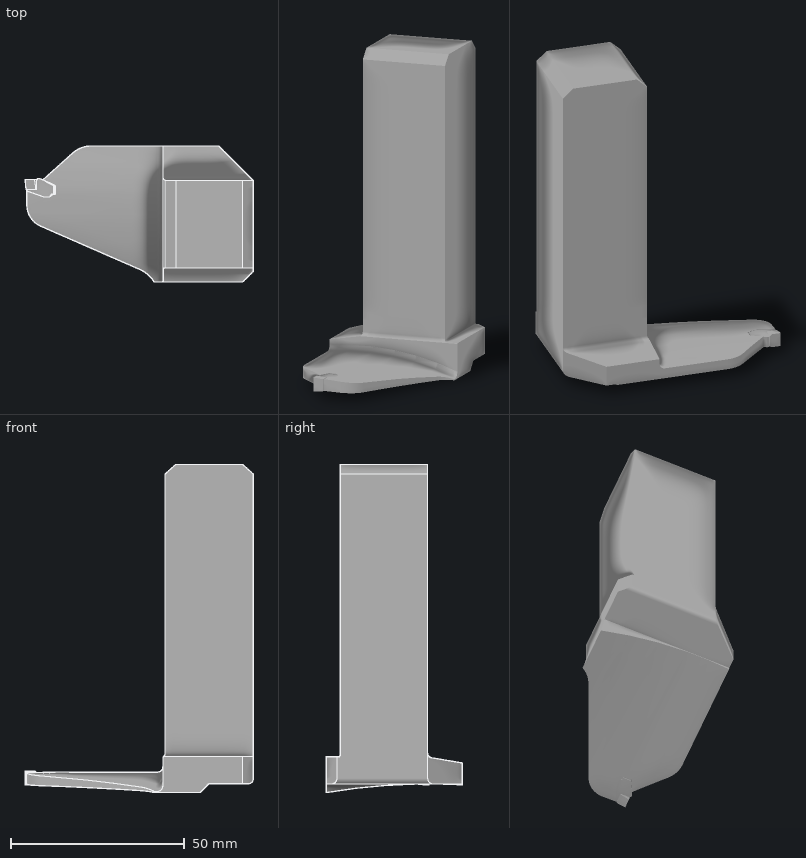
import cadquery as cq
import math


tool_length = 65.6
tool_width = 39.15
tool_height = 94.39

shank_width = 25.4
shank_depth = 25.2
shank_chamfer_run = 3.1
shank_chamfer_drop = 2.8

foot_front = -4.0
foot_back = foot_front + tool_width
foot_wall_x = -0.63
foot_top_z = 10.4
foot_slope_angle = 9.5
foot_back_chamfer = foot_back - shank_depth
foot_front_chamfer = 3.1
heel_z = 2.55
heel_start_x = 10.1
heel_corner_radius = 1.5

side_root_radius = 1.45
back_root_radius = 1.35
front_root_radius = 0.3
root_top_z = 11.4

crest_y = 25.5
blade_top_z = 5.98
blade_top_radius = 80.0
blade_bottom_z = 2.5
blade_bottom_radius = (blade_bottom_z**2 + (crest_y - foot_front) ** 2) / (2 * blade_bottom_z)
blade_wall_radius = 1.6
blade_tip_x = -39.74
blade_back_angle = 42.0
blade_front_angle = 23.6
blade_back_radius = 8.0
blade_tip_radius = 6.7
flare_start = (-7.0, -0.5)
flare_middle = (-4.75, -2.0)
flare_end = (-3.1, foot_front)

cutting_edge_x = shank_width - tool_length
rake_y = 25.5
insert_heel = (-35.1, 25.4)
insert_end_x = -31.9
insert_end_back_y = 23.7
insert_end_front_y = 21.2
insert_keel_x = (-34.9, -33.2)
insert_keel_y = 20.5
insert_nose_y = 22.2
insert_bottom_z = blade_bottom_z
insert_top_z = 5.75
insert_end_gap = 0.35
hump_points = [(-37.0, 25.1), (-36.6, 25.8), (-36.0, 25.8)]
head_end_x = -37.5
neck_end_x = -36.9
head_nose_y = 23.4
head_front_y = 22.6
head_rake_z = (2.15, 6.3)
head_front_z = (2.4, 5.95)
head_edge_relief = 0.1
head_nose_relief = 0.3

margin = 10.0


def foot_and_blade_blank():
    """Plan outline of foot and blade, with the round corners of the blade."""
    right = shank_width
    tip_front_y = flare_start[1] + (flare_start[0] - blade_tip_x) * math.tan(math.radians(blade_front_angle))
    back_rise = foot_back - insert_heel[1]
    shoulder_x = insert_heel[0] + back_rise / math.tan(math.radians(blade_back_angle))
    blank = (
        cq.Workplane("XY")
        .moveTo(blade_tip_x, tip_front_y)
        .lineTo(*flare_start)
        .threePointArc(flare_middle, flare_end)
        .lineTo(right - foot_front_chamfer, foot_front)
        .lineTo(right, foot_front + foot_front_chamfer)
        .lineTo(right, foot_back - foot_back_chamfer)
        .lineTo(right - foot_back_chamfer, foot_back)
        .lineTo(shoulder_x, foot_back)
        .lineTo(*insert_heel)
        .lineTo(blade_tip_x, head_front_y)
        .close()
        .extrude(root_top_z)
    )
    tip_corner = cq.selectors.NearestToPointSelector((blade_tip_x, tip_front_y, root_top_z / 2))
    shoulder = cq.selectors.NearestToPointSelector((shoulder_x, foot_back, root_top_z / 2))
    blank = blank.edges(tip_corner).fillet(blade_tip_radius)
    return blank.edges(shoulder).fillet(blade_back_radius)


def root_profile_along_y():
    """Foot top with the concave fillet at the left side of the shank, cut off by the foot wall."""
    wall_rise = math.sqrt(side_root_radius**2 - (side_root_radius + foot_wall_x) ** 2)
    half_angle = 0.5 * math.acos((side_root_radius + foot_wall_x) / side_root_radius)
    middle = (
        side_root_radius * (math.cos(half_angle) - 1),
        root_top_z - side_root_radius * math.sin(half_angle),
    )
    wall_top_z = root_top_z - wall_rise
    left = blade_tip_x - margin
    return (
        cq.Workplane("XZ", origin=(0, foot_back + margin, 0))
        .moveTo(0, root_top_z)
        .threePointArc(middle, (foot_wall_x, wall_top_z))
        .lineTo(left, wall_top_z)
        .lineTo(left, -margin)
        .lineTo(shank_width, -margin)
        .lineTo(shank_width, root_top_z)
        .close()
        .extrude(foot_back - foot_front + 2 * margin)
    )


def root_profile_along_x():
    """Foot top with the small front fillet, the back fillet and the sloping back ledge."""
    slope = math.radians(foot_slope_angle)
    bend = math.radians(90 - foot_slope_angle)
    back_centre = (shank_depth + back_root_radius, root_top_z)
    back_root_end = (
        back_centre[0] - back_root_radius * math.cos(bend),
        back_centre[1] - back_root_radius * math.sin(bend),
    )
    back_root_middle = (
        back_centre[0] - back_root_radius * math.cos(bend / 2),
        back_centre[1] - back_root_radius * math.sin(bend / 2),
    )
    ledge_back_z = back_root_end[1] - (foot_back - back_root_end[0]) * math.tan(slope)
    front_bulge = front_root_radius * (1 - math.sqrt(0.5))
    left = blade_tip_x - margin
    return (
        cq.Workplane("YZ", origin=(left, 0, 0))
        .moveTo(foot_front, -margin)
        .lineTo(foot_front, foot_top_z)
        .lineTo(-front_root_radius, foot_top_z)
        .threePointArc((-front_bulge, foot_top_z + front_bulge), (0, foot_top_z + front_root_radius))
        .lineTo(0, root_top_z)
        .lineTo(shank_depth, root_top_z)
        .threePointArc(back_root_middle, back_root_end)
        .lineTo(foot_back, ledge_back_z)
        .lineTo(foot_back, -margin)
        .close()
        .extrude(shank_width - left)
    )


def space_above_blade():
    """Ring over the blade, rounded where the blade runs into the foot wall."""
    far = blade_tip_x - margin
    outer = blade_top_radius + root_top_z + margin
    round_centre_x = foot_wall_x - blade_wall_radius
    round_centre_r = blade_top_radius + blade_wall_radius
    middle = (
        round_centre_x + blade_wall_radius * math.sqrt(0.5),
        round_centre_r - blade_wall_radius * math.sqrt(0.5),
    )
    return (
        cq.Workplane("XY", origin=(0, crest_y, blade_top_z - blade_top_radius))
        .moveTo(far, blade_top_radius)
        .lineTo(round_centre_x, blade_top_radius)
        .threePointArc(middle, (foot_wall_x, round_centre_r))
        .lineTo(foot_wall_x, outer)
        .lineTo(far, outer)
        .close()
        .revolve(360, (0, 0, 0), (1, 0, 0))
    )


def space_below_blade():
    """Cylinder along X that hollows the underside of the blade and foot."""
    far = blade_tip_x - margin
    return (
        cq.Workplane("YZ", origin=(far, crest_y, blade_bottom_z - blade_bottom_radius))
        .circle(blade_bottom_radius)
        .extrude(shank_width + margin - far)
    )


def space_below_heel():
    """Step in the underside at the right, entered by a 45 degree slope."""
    right = shank_width
    return (
        cq.Workplane("XZ", origin=(0, foot_back + margin, 0))
        .moveTo(heel_start_x, 0)
        .lineTo(heel_start_x + heel_z, heel_z)
        .lineTo(right - heel_corner_radius, heel_z)
        .radiusArc((right, heel_z + heel_corner_radius), -heel_corner_radius)
        .lineTo(right + margin, heel_z + heel_corner_radius)
        .lineTo(right + margin, -margin)
        .lineTo(heel_start_x, -margin)
        .close()
        .extrude(foot_back - foot_front + 2 * margin)
    )


def shank():
    """Rectangular bar with its left and right top edges chamfered."""
    shoulder_z = tool_height - shank_chamfer_drop
    return (
        cq.Workplane("XZ")
        .moveTo(0, foot_top_z)
        .lineTo(shank_width, foot_top_z)
        .lineTo(shank_width, shoulder_z)
        .lineTo(shank_width - shank_chamfer_run, tool_height)
        .lineTo(shank_chamfer_run, tool_height)
        .lineTo(0, shoulder_z)
        .close()
        .extrude(-shank_depth)
    )


def insert_plan(end_x, bottom_z, top_z):
    """Insert outline in plan, wedge shaped at the keel, as a plate between two levels."""
    return (
        cq.Workplane("XY", origin=(0, 0, bottom_z))
        .moveTo(blade_tip_x, insert_nose_y)
        .lineTo(insert_keel_x[0], insert_keel_y)
        .lineTo(insert_keel_x[1], insert_keel_y)
        .lineTo(end_x - (insert_end_front_y - insert_keel_y), insert_end_front_y)
        .lineTo(end_x, insert_end_front_y)
        .lineTo(end_x, insert_end_back_y)
        .lineTo(*insert_heel)
        .lineTo(*hump_points[2])
        .lineTo(*hump_points[1])
        .lineTo(*hump_points[0])
        .lineTo(blade_tip_x, hump_points[0][1])
        .close()
        .extrude(top_z - bottom_z)
    )


def insert_head():
    """Cutting head, widest at the rake face, sloping down to the plate at its neck."""
    rake_bottom, rake_top = head_rake_z
    front_bottom, front_top = head_front_z
    front_taper = (
        cq.Workplane("YZ", origin=(cutting_edge_x, 0, 0))
        .polyline([
            (rake_y, rake_bottom),
            (rake_y, rake_top),
            (head_front_y, front_top),
            (head_front_y, front_bottom),
        ])
        .close()
        .extrude(neck_end_x - cutting_edge_x)
    )
    neck_taper = (
        cq.Workplane("XZ", origin=(0, rake_y, 0))
        .polyline([
            (cutting_edge_x, rake_bottom),
            (head_end_x, rake_bottom),
            (neck_end_x, insert_bottom_z),
            (neck_end_x, insert_top_z),
            (head_end_x, rake_top),
            (cutting_edge_x, rake_top),
        ])
        .close()
        .extrude(rake_y - head_front_y)
    )
    plan = (
        cq.Workplane("XY")
        .polyline([
            (cutting_edge_x, rake_y),
            (neck_end_x, rake_y),
            (neck_end_x, head_front_y),
            (cutting_edge_x + head_nose_relief, head_front_y),
            (cutting_edge_x + head_edge_relief, head_nose_y),
        ])
        .close()
        .extrude(foot_top_z)
    )
    return front_taper.intersect(neck_taper).intersect(plan)


def holder():
    """Shank, foot and blade in one piece, with a pocket through the blade for the insert."""
    body = foot_and_blade_blank()
    body = body.intersect(root_profile_along_y()).intersect(root_profile_along_x())
    body = body.cut(space_above_blade()).cut(space_below_blade()).cut(space_below_heel())
    pocket = insert_plan(insert_end_x + insert_end_gap, 0, foot_top_z)
    body = body.cut(pocket)
    return body.union(shank())


def insert():
    """Flat plate that sits in the pocket, with the cutting head at its tip."""
    plate = insert_plan(insert_end_x, insert_bottom_z, insert_top_z)
    return plate.union(insert_head())


tool_holder = holder()
grooving_insert = insert()

result = cq.Compound.makeCompound([tool_holder.solids().val(), grooving_insert.solids().val()])